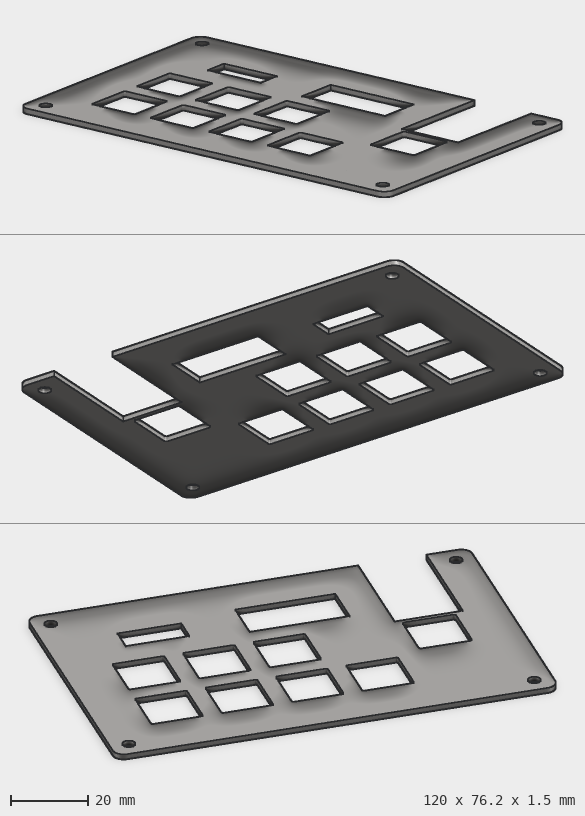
import cadquery as cq

plate_length = 120.0
plate_width = 76.2
plate_thickness = 1.5
corner_radius = 3.0

mount_hole_diameter = 3.4
mount_hole_inset = 5.0

key_size = 14.0
key_pitch = 19.1
key_corner_radius = 0.5
first_key_x = -39.2
upper_row_y = 1.1
keys_per_row = (3, 4)

knob_size = 14.4
knob_corner_radius = 0.7
knob_x = 38.9
knob_y = -1.2

slot_width = 18.5
slot_x = 39.2
slot_bottom_y = 7.2

window_y = 19.5
display_length = 27.1
display_width = 12.2
display_x = 6.2
small_window_length = 17.3
small_window_width = 7.0
small_window_x = -31.5


def cutter(length, width, x, y, radius=0.0):
    """Rectangular through-cutter centred at (x, y), with optional rounded corners."""
    block = cq.Workplane("XY").box(length, width, plate_thickness)
    if radius > 0:
        block = block.edges("|Z").fillet(radius)
    return block.translate((x, y, 0))


result = cutter(plate_length, plate_width, 0, 0, corner_radius)

result = (
    result.faces(">Z").workplane(origin=(0, 0, 0))
    .rect(plate_length - 2 * mount_hole_inset, plate_width - 2 * mount_hole_inset, forConstruction=True)
    .vertices()
    .hole(mount_hole_diameter)
)

for row, key_count in enumerate(keys_per_row):
    for column in range(key_count):
        key_x = first_key_x + column * key_pitch
        key_y = upper_row_y - row * key_pitch
        result = result.cut(cutter(key_size, key_size, key_x, key_y, key_corner_radius))

result = result.cut(cutter(knob_size, knob_size, knob_x, knob_y, knob_corner_radius))

slot_length = plate_width / 2 - slot_bottom_y
result = result.cut(cutter(slot_width, slot_length, slot_x, slot_bottom_y + slot_length / 2))

result = result.cut(cutter(display_length, display_width, display_x, window_y))
result = result.cut(cutter(small_window_length, small_window_width, small_window_x, window_y))